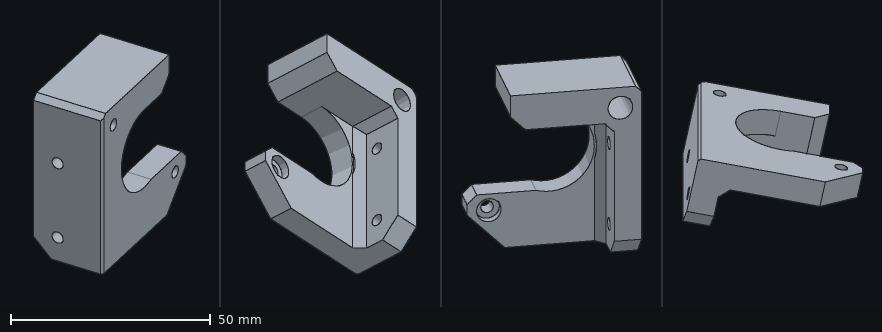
import cadquery as cq

width = 20.0
depth = 42.0
height = 47.0

wall_thickness = 7.0
arm_length = 33.5
arm_underside = 37.4
arm_tip_chamfer = 3.75
top_edge_chamfer = 1.55
side_edge_chamfer = 0.6
bottom_corner_chamfer = 5.15

plate_thickness = 6.95
plate_face = width - plate_thickness
lower_arm_top = 15.0
lower_arm_top_chamfer = 2.45
lower_arm_bottom_chamfer = 9.6

opening_radius = 11.45
opening_y = 21.0
opening_z = arm_underside - opening_radius
clearance_gap = 0.5
clearance_radius = opening_radius + clearance_gap

root_size = opening_y - opening_radius - wall_thickness
gusset_size = 2.45

hole_diameter = 3.2
counterbore_diameter = 6.25
counterbore_floor = 15.3
side_screw_positions = [(5.45, 41.45), (36.45, 10.58)]
wall_hole_x = 7.05
wall_hole_heights = [7.0, 29.0]


def prism_along_x(points, x_start, x_end):
    """Extrude a closed (Y, Z) outline from x_start to x_end."""
    return cq.Workplane("YZ", origin=(x_start, 0, 0)).polyline(points).close().extrude(x_end - x_start)


def cylinder_along_x(y, z, radius, x_start, x_end):
    """Cylinder parallel to X, centred on (y, z)."""
    return cq.Workplane("YZ", origin=(x_start, y, z)).circle(radius).extrude(x_end - x_start)


def make_wall():
    """Wall with its 45 degree root against the plate."""
    outline = [
        (0, 0),
        (width, 0),
        (width, wall_thickness + root_size),
        (plate_face, wall_thickness + root_size),
        (plate_face - root_size, wall_thickness),
        (0, wall_thickness),
    ]
    return cq.Workplane("XY").polyline(outline).close().extrude(height)


def make_top_arm():
    """Full-width arm with a chamfer under its tip."""
    return prism_along_x(
        [
            (0, arm_underside),
            (arm_length - arm_tip_chamfer, arm_underside),
            (arm_length, arm_underside + arm_tip_chamfer),
            (arm_length, height),
            (0, height),
        ],
        0,
        width,
    )


def make_plate():
    """Side plate with the round opening and the lower arm."""
    outline = [
        (0, 0),
        (depth - lower_arm_bottom_chamfer, 0),
        (depth, lower_arm_bottom_chamfer),
        (depth, lower_arm_top - lower_arm_top_chamfer),
        (depth - lower_arm_top_chamfer, lower_arm_top),
        (opening_y, lower_arm_top),
        (opening_y, arm_underside),
        (0, arm_underside),
    ]
    plate = prism_along_x(outline, plate_face, width)
    return plate.cut(cylinder_along_x(opening_y, opening_z, opening_radius, plate_face, width))


def make_gusset():
    """Triangular gusset in the corner between the wall and the top arm."""
    corner = [
        (wall_thickness, arm_underside),
        (wall_thickness + gusset_size, arm_underside),
        (wall_thickness, arm_underside - gusset_size),
    ]
    return prism_along_x(corner, 0, plate_face)


def bevel_outer_edges(body):
    """Bevel the top and +X edges of the wall and the lower -X corner."""
    top_bevel = prism_along_x(
        [(0, height), (top_edge_chamfer, height), (0, height - top_edge_chamfer)], 0, width
    )
    side_bevel = (
        cq.Workplane("XY")
        .polyline([(width, 0), (width, side_edge_chamfer), (width - side_edge_chamfer, 0)])
        .close()
        .extrude(height)
    )
    corner_bevel = (
        cq.Workplane("XZ")
        .polyline([(0, 0), (bottom_corner_chamfer, 0), (0, bottom_corner_chamfer)])
        .close()
        .extrude(-depth)
    )
    return body.cut(top_bevel).cut(side_bevel).cut(corner_bevel)


def drill_holes(body):
    """Counterbored screw holes along X and plain holes through the wall."""
    for y, z in side_screw_positions:
        body = body.cut(cylinder_along_x(y, z, hole_diameter / 2, 0, width))
        body = body.cut(cylinder_along_x(y, z, counterbore_diameter / 2, 0, counterbore_floor))
    for z in wall_hole_heights:
        hole = (
            cq.Workplane("XZ", origin=(wall_hole_x, 0, z))
            .circle(hole_diameter / 2)
            .extrude(-wall_thickness)
        )
        body = body.cut(hole)
    return body


clearance = cylinder_along_x(opening_y, opening_z, clearance_radius, 0, plate_face)
body = make_wall().cut(clearance)
body = body.union(make_plate()).union(make_top_arm()).union(make_gusset())
result = drill_holes(bevel_outer_edges(body))